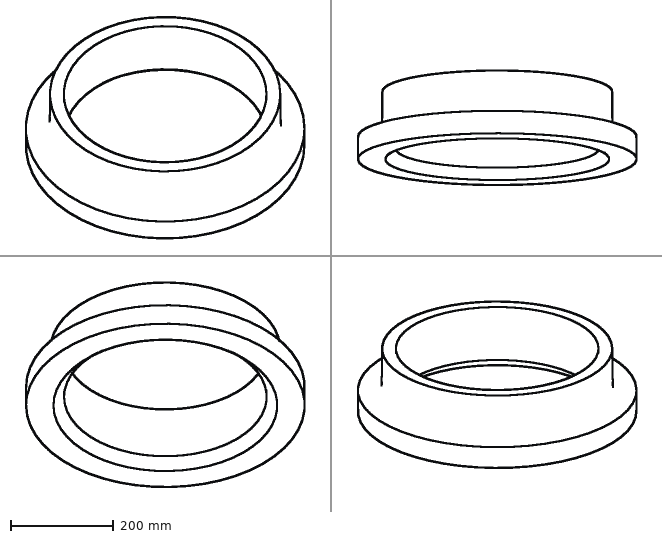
import cadquery as cq

flange_diameter = 545.0
total_height = 134.0
flange_thickness = 44.5
bore_diameter = 396.0
bore_chamfer = 20.5

collar_diameter = 450.0
hub_base_diameter = 453.0
collar_height = 40.0
root_fillet = 6.5

flange_radius = flange_diameter / 2
bore_radius = bore_diameter / 2
collar_radius = collar_diameter / 2
hub_base_radius = hub_base_diameter / 2
collar_base_z = total_height - collar_height

section = (
    cq.Workplane("XZ")
    .moveTo(bore_radius, bore_chamfer)
    .lineTo(bore_radius + bore_chamfer, 0)
    .lineTo(flange_radius, 0)
    .lineTo(flange_radius, flange_thickness)
    .lineTo(hub_base_radius + root_fillet, flange_thickness)
    .radiusArc((hub_base_radius, flange_thickness + root_fillet), root_fillet)
    .lineTo(collar_radius, collar_base_z)
    .lineTo(collar_radius, total_height)
    .lineTo(bore_radius, total_height)
    .close()
)
result = section.revolve(360, (0, 0, 0), (0, 1, 0))